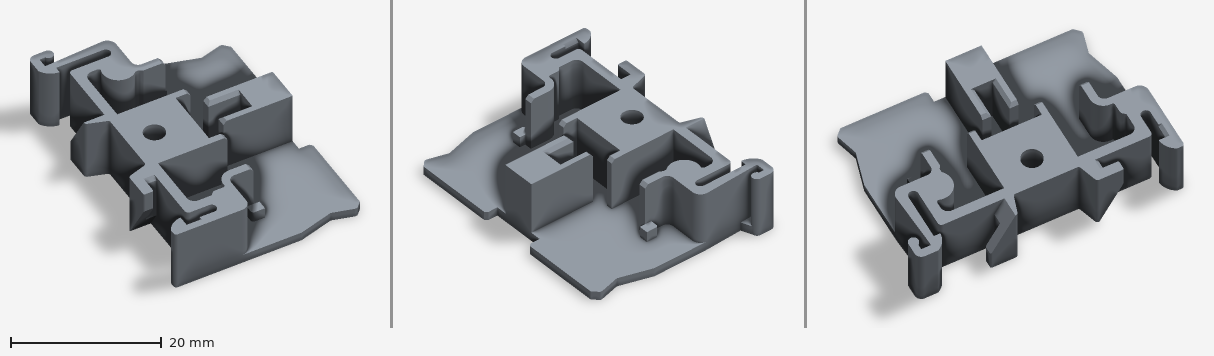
import cadquery as cq
import math

TOUCHING = 4e-07

HEIGHT = 9.5
PLATE_THICKNESS = 1.35
HALF_WIDTH = 18.95
OVERALL_WIDTH = 40
OVERALL_DEPTH = 29.0
EDGE_CHAMFER = 0.5

HOUSING_BOTTOM = 3.45
SHOULDER = 11.6
SHOULDER_RADIUS = 1.35
WALL_OUTER = 12.5
WALL_THICKNESS = 1.2
WALL_INNER = WALL_OUTER - WALL_THICKNESS
WALL_END = 15.55
WALL_BEND_RADIUS = 1.0
HOUSING_CORNER_RADIUS = 0.55

CENTRE_HALF = 5.5
CENTRE_RIB = 1.0
CENTRE_TOP = 13.3
HOLE_DIAMETER = 3.1
HOLE_Y = 7.5

POCKET_HALF = 14.5
POCKET_BOTTOM = 4.95
POCKET_RADIUS = 1.1
NOOK_TOP = 7.35
NOOK_RADIUS = 0.4
UNDERCUT_X = -11.65
UNDERCUT_START = 12.2
UNDERCUT_Y = 11.7
UNDERCUT_END = 11.0
RIGHT_STEP_X = 13.9
RIGHT_STEP_Y = 8.55
RIGHT_STEP_EDGE = 8.15
RIGHT_STEP_RADIUS = 0.8
RIGHT_BEND_Y = 10.5
RIGHT_BEND_RADIUS = 2
SMALL_RADIUS = 0.3
BULGE_X = -13.3
BULGE_Y = 9.5
BULGE_RADIUS = 2.35

LEG_SLOT_INNER = 16
LEG_SLOT_OUTER = 17.45
LEFT_SLOT_TOP = 10.25
RIGHT_SLOT_TOP = 7.55
FOOT_TOP = 2.35
LEFT_FOOT_TIP = -16.45
RIGHT_FOOT_TIP = 16.25
FOOT_BOW_IN = 0.3
FOOT_BOW_Y = 0.8
FOOT_BOW_RADIUS = 2.8
FOOT_HEEL_IN = 1.55
FOOT_HEEL_RADIUS = 0.4
FOOT_TIP_RADIUS = 0.1
RIGHT_FOOT_CORNER_RADIUS = 0.45
LEG_CHAMFER_TOP = 4.6
LEG_CHAMFER = 0.5

HOOK_LEFT = HALF_WIDTH - OVERALL_WIDTH
HOOK_THICKNESS = 1.1
HOOK_FLOOR = 1.25
HOOK_RADIUS = 1.0
HOOK_HEAD_RADIUS = 0.75
HOOK_HEAD_Y = 2.75
HOOK_FLOOR_RADIUS = 0.1
LEG_TIP_X = -18.45
WEB_BOTTOM = 0.8
WEB_TOP = 4.2
WEB_TOP_X = -18.6

CLIP_BOTTOM = 0.3
CLIP_LIP_TOP = 1.8
CLIP_TIP = 10
CLIP_ROOT = 4.9
CLIP_ROOT_RADIUS = 0.35
CLIP_HEEL = 5.9
CLIP_HEEL_RADIUS = 0.5
CLIP_STEM = 7.8
CLIP_STEM_CHAMFER = 0.55
CLIP_CUT_START = 6.3
CLIP_CUT_HEIGHT = 6.5
CLIP_TIP_RADIUS = 0.25

TOWER_HALF = 2.7
TOWER_FRONT = 16.5
TOWER_BACK = 27.05
TOWER_SLOT_HALF = 1.35
TOWER_SLOT_END = 21.35
STOP_OUTER = 14
STOP_FRONT = 14.5
STOP_HEIGHT = 3.05
STOP_RADIUS = 0.4

NOTCH_HALF = 4.4
NOTCH_CHAMFER = 0.4
HORN_FLAT_END = 17.45
HORN_X = 18.35
HORN_TOP = 28.1
HORN_BOTTOM = 27.7
GRIP_X = 17.5
GRIP_Y = 24.5
GRIP_START = 19.3


def rounded_prism(corners, height, base=0):
    """Extrude a closed outline whose corners are (x, y) or (x, y, radius)."""
    trimmed = []
    count = len(corners)
    for index, corner in enumerate(corners):
        point = cq.Vector(corner[0], corner[1])
        if len(corner) == 2:
            trimmed.append((point, None, point))
            continue
        radius = corner[2]
        before = cq.Vector(*corners[index - 1][:2])
        after = cq.Vector(*corners[(index + 1) % count][:2])
        to_before = (before - point).normalized()
        to_after = (after - point).normalized()
        half_angle = to_before.getAngle(to_after) / 2
        reach = radius / math.tan(half_angle)
        bisector = (to_before + to_after).normalized()
        middle = point + bisector * (radius / math.sin(half_angle) - radius)
        trimmed.append((point + to_before * reach, middle, point + to_after * reach))

    path = cq.Workplane("XY", origin=(0, 0, base)).moveTo(trimmed[0][2].x, trimmed[0][2].y)
    position = trimmed[0][2]
    for start, middle, end in trimmed[1:] + trimmed[:1]:
        if (start - position).Length > TOUCHING:
            path = path.lineTo(start.x, start.y)
        position = end
        if middle is not None:
            path = path.threePointArc((middle.x, middle.y), (end.x, end.y))
    return path.close().extrude(height)


def box(x_min, x_max, y_min, y_max, z_min, z_max):
    size = (x_max - x_min, y_max - y_min, z_max - z_min)
    return cq.Workplane("XY", origin=(x_min, y_min, z_min)).box(*size, centered=False)


def cylinder(x, y, radius, height):
    return cq.Workplane("XY").center(x, y).circle(radius).extrude(height)


def side_profile(corners, y_min, y_max):
    """Extrude a closed outline of (x, z) corners from y_min to y_max."""
    return cq.Workplane("XZ", origin=(0, y_max, 0)).polyline(corners).close().extrude(y_max - y_min)


def make_plate():
    right_side = [
        (NOTCH_HALF, TOWER_BACK),
        (NOTCH_HALF, OVERALL_DEPTH - NOTCH_CHAMFER),
        (NOTCH_HALF + NOTCH_CHAMFER, OVERALL_DEPTH),
        (HORN_FLAT_END, OVERALL_DEPTH),
        (HORN_X, HORN_TOP),
        (HORN_X, HORN_BOTTOM),
        (GRIP_X, GRIP_Y),
        (HALF_WIDTH, GRIP_START),
        (HALF_WIDTH, SHOULDER - SHOULDER_RADIUS),
    ]
    left_side = [(-x, y) for x, y in reversed(right_side)]
    return rounded_prism(left_side + right_side, PLATE_THICKNESS)


def foot_corners(tip_x, outward):
    """Bowed inner side of a foot from its tip down to its heel; outward is the sign of X."""
    return [
        (tip_x, FOOT_TOP, FOOT_TIP_RADIUS),
        (tip_x + outward * FOOT_BOW_IN, FOOT_BOW_Y, FOOT_BOW_RADIUS),
        (tip_x + outward * FOOT_HEEL_IN, 0, FOOT_HEEL_RADIUS),
    ]


def make_housing():
    """Housing walls, spring legs, feet and hook as one outline; the wall ends get a chamfer."""
    slot_radius = (LEG_SLOT_OUTER - LEG_SLOT_INNER) / 2
    hook_inner = HOOK_LEFT + HOOK_THICKNESS
    body = rounded_prism(
        [
            (-WALL_OUTER, WALL_END),
            (-WALL_OUTER, SHOULDER, WALL_BEND_RADIUS),
            (-HALF_WIDTH, SHOULDER, SHOULDER_RADIUS),
            (-HALF_WIDTH, SHOULDER - SHOULDER_RADIUS),
            (LEG_TIP_X, HOOK_FLOOR, HOOK_FLOOR_RADIUS),
            (hook_inner, HOOK_FLOOR, HOOK_FLOOR_RADIUS),
            (hook_inner, HOOK_HEAD_Y),
            (HOOK_LEFT, HOOK_HEAD_Y),
            (HOOK_LEFT, 0, HOOK_RADIUS),
            *reversed(foot_corners(LEFT_FOOT_TIP, -1)),
            (-LEG_SLOT_OUTER, FOOT_TOP),
            (-LEG_SLOT_OUTER, LEFT_SLOT_TOP, slot_radius),
            (-LEG_SLOT_INNER, LEFT_SLOT_TOP, slot_radius),
            (-LEG_SLOT_INNER, HOUSING_BOTTOM, HOUSING_CORNER_RADIUS),
            (LEG_SLOT_INNER, HOUSING_BOTTOM, HOUSING_CORNER_RADIUS),
            (LEG_SLOT_INNER, RIGHT_SLOT_TOP, slot_radius),
            (LEG_SLOT_OUTER, RIGHT_SLOT_TOP, slot_radius),
            (LEG_SLOT_OUTER, FOOT_TOP),
            *foot_corners(RIGHT_FOOT_TIP, 1),
            (HALF_WIDTH, 0, RIGHT_FOOT_CORNER_RADIUS),
            (HALF_WIDTH, SHOULDER, SHOULDER_RADIUS),
            (WALL_OUTER, SHOULDER, WALL_BEND_RADIUS),
            (WALL_OUTER, WALL_END),
        ],
        HEIGHT,
    )
    return body.faces(">Y").edges(">Z").chamfer(EDGE_CHAMFER)


def make_hook_head_and_web():
    head_x = HOOK_LEFT + HOOK_HEAD_RADIUS
    head = cylinder(head_x, HOOK_HEAD_Y, HOOK_HEAD_RADIUS, HEIGHT)
    web = rounded_prism(
        [
            (head_x, HOOK_HEAD_Y + HOOK_HEAD_RADIUS),
            (head_x, WEB_BOTTOM),
            (LEG_TIP_X, WEB_BOTTOM),
            (WEB_TOP_X, WEB_TOP),
        ],
        PLATE_THICKNESS,
    )
    return head.union(web)


def make_pockets():
    depth = HEIGHT - PLATE_THICKNESS
    clear_of_walls = WALL_END + 0.4
    left = rounded_prism(
        [
            (-CENTRE_HALF, clear_of_walls),
            (-WALL_INNER, clear_of_walls),
            (-WALL_INNER, UNDERCUT_START),
            (UNDERCUT_X, UNDERCUT_Y, SMALL_RADIUS),
            (UNDERCUT_X, UNDERCUT_END),
            (BULGE_X, BULGE_Y),
            (BULGE_X, NOOK_TOP),
            (-POCKET_HALF, NOOK_TOP, NOOK_RADIUS),
            (-POCKET_HALF, POCKET_BOTTOM, POCKET_RADIUS),
            (-CENTRE_HALF, POCKET_BOTTOM),
        ],
        depth,
        PLATE_THICKNESS,
    ).cut(cylinder(BULGE_X, BULGE_Y, BULGE_RADIUS, HEIGHT))
    right = rounded_prism(
        [
            (CENTRE_HALF, clear_of_walls),
            (CENTRE_HALF, POCKET_BOTTOM),
            (POCKET_HALF, POCKET_BOTTOM, POCKET_RADIUS),
            (POCKET_HALF, RIGHT_STEP_EDGE),
            (RIGHT_STEP_X, RIGHT_STEP_Y, RIGHT_STEP_RADIUS),
            (RIGHT_STEP_X, RIGHT_BEND_Y, SMALL_RADIUS),
            (WALL_INNER, RIGHT_BEND_Y, RIGHT_BEND_RADIUS),
            (WALL_INNER, clear_of_walls),
        ],
        depth,
        PLATE_THICKNESS,
    )
    rib_inner = CENTRE_HALF - CENTRE_RIB
    recess = box(-rib_inner, rib_inner, CENTRE_TOP, clear_of_walls, PLATE_THICKNESS, HEIGHT)
    return left.union(right).union(recess)


def make_leg_bevels():
    """Wedges that bevel the upper and lower inner edges of the right leg just above its foot."""
    corners = [
        (LEG_SLOT_OUTER, HEIGHT - LEG_CHAMFER),
        (LEG_SLOT_OUTER + LEG_CHAMFER, HEIGHT),
        (LEG_SLOT_OUTER, HEIGHT),
    ]
    upper = side_profile(corners, FOOT_TOP, LEG_CHAMFER_TOP)
    lower = upper.mirror("XY", (0, 0, HEIGHT / 2))
    return upper.union(lower)


def make_clip():
    """Right clip: an L-shaped hook, undercut by a slope, with a bevelled stem."""
    inside_housing = HOUSING_BOTTOM + 0.4
    clip = rounded_prism(
        [
            (CLIP_ROOT - CLIP_ROOT_RADIUS, inside_housing),
            (CLIP_ROOT - CLIP_ROOT_RADIUS, HOUSING_BOTTOM),
            (CLIP_ROOT, HOUSING_BOTTOM, CLIP_ROOT_RADIUS),
            (CLIP_HEEL, CLIP_BOTTOM, CLIP_HEEL_RADIUS),
            (CLIP_TIP, CLIP_BOTTOM, CLIP_TIP_RADIUS),
            (CLIP_TIP, CLIP_LIP_TOP, CLIP_TIP_RADIUS),
            (CLIP_STEM, CLIP_LIP_TOP),
            (CLIP_STEM, inside_housing),
        ],
        HEIGHT,
    )
    stem_bevel = side_profile(
        [
            (CLIP_STEM, HEIGHT - CLIP_STEM_CHAMFER),
            (CLIP_STEM - CLIP_STEM_CHAMFER, HEIGHT),
            (CLIP_STEM, HEIGHT),
        ],
        CLIP_LIP_TOP,
        HOUSING_BOTTOM,
    )
    undercut = side_profile(
        [(CLIP_CUT_START, 0), (CLIP_TIP, CLIP_CUT_HEIGHT), (CLIP_TIP, 0)],
        0,
        HOUSING_BOTTOM,
    )
    return clip.cut(stem_bevel).cut(undercut)


def make_tower():
    tower = box(-TOWER_HALF, TOWER_HALF, TOWER_FRONT, TOWER_BACK, 0, HEIGHT)
    slot = box(-TOWER_SLOT_HALF, TOWER_SLOT_HALF, TOWER_FRONT, TOWER_SLOT_END, PLATE_THICKNESS, HEIGHT)
    slot_bevel = side_profile(
        [
            (-TOWER_SLOT_HALF, HEIGHT - EDGE_CHAMFER),
            (-TOWER_SLOT_HALF - EDGE_CHAMFER, HEIGHT),
            (TOWER_SLOT_HALF + EDGE_CHAMFER, HEIGHT),
            (TOWER_SLOT_HALF, HEIGHT - EDGE_CHAMFER),
        ],
        TOWER_FRONT,
        TOWER_SLOT_END,
    )
    return tower.faces("<Y").edges(">Z").chamfer(EDGE_CHAMFER).cut(slot).cut(slot_bevel)


def make_stop():
    """Low stop on the outer side of the right wall."""
    return rounded_prism(
        [
            (WALL_OUTER, TOWER_FRONT),
            (WALL_OUTER, STOP_FRONT),
            (STOP_OUTER, STOP_FRONT, STOP_RADIUS),
            (STOP_OUTER, TOWER_FRONT),
        ],
        STOP_HEIGHT,
    )


result = make_housing().union(make_hook_head_and_web())
result = result.cut(make_pockets()).cut(make_leg_bevels())
result = result.union(make_plate()).union(make_tower())

stop = make_stop()
result = result.union(stop).union(stop.mirror("YZ"))

clip = make_clip()
turned_clip = clip.rotate((0, 0, HEIGHT / 2), (0, 1, HEIGHT / 2), 180)
result = result.union(clip).union(turned_clip)

result = result.cut(cylinder(0, HOLE_Y, HOLE_DIAMETER / 2, HEIGHT))